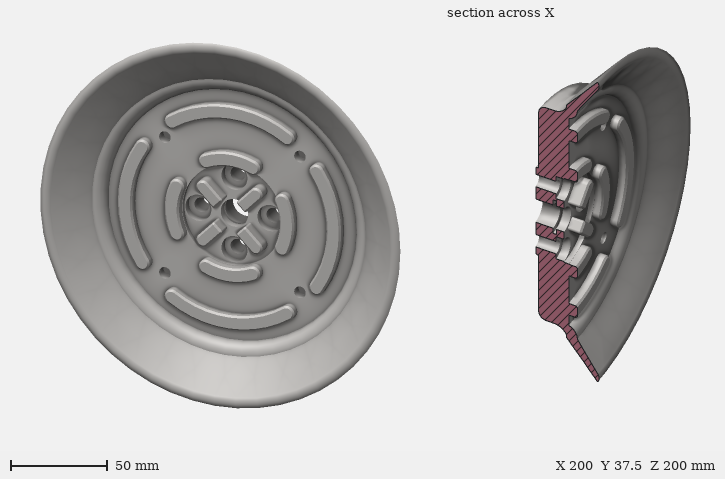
import cadquery as cq
import math


total_depth = 37.5
back_boss_height = 1.5
body_back_y = total_depth - back_boss_height
band_back_y = 31.0
band_front_y = 26.8
neck_front_y = 19.5
mouth_edge_y = 12.8
floor_y = 17.8

lip_radius = 100.0
lip_inner_radius = 94.2
lip_edge_y = 1.0
body_radius = 71.0
neck_radius = 75.8
skirt_top_radius = 77.5
mouth_radius = 76.0
mouth_bulge = 1.5
floor_radius = 68.8
back_boss_radius = 29.2
back_boss_chamfer = 0.5

center_hole_diameter = 15.2
bolt_circle_radius = 20.0
bolt_hole_diameter = 8.0
bolt_counterbore_diameter = 14.5
bolt_counterbore_depth = 7.5

undercut_radius = 11.0
undercut_y = 25.2
undercut_width = 1.8

pin_spacing = 75.0
pin_hole_diameter = 6.5
pin_hole_depth = 6.0

insert_radius = 27.8
insert_recess_depth = 2.8

cleat_width = 8.0
cleat_height = 5.0
cleat_chamfer = 1.0
outer_cleat_radius = 58.0
outer_cleat_half_angle = 33.5
inner_cleat_radius = 32.0
inner_cleat_half_angle = 24.0
block_width = 7.2
block_start = 8.8
block_end = 24.5
block_corner_round = 1.2

QUARTER_TURNS = (0, 90, 180, 270)


def polar(radius, angle):
    """Point at the given radius and angle in degrees."""
    return radius * math.cos(math.radians(angle)), radius * math.sin(math.radians(angle))


def floor_plane(y):
    """Sketch plane at height y, with X right, Z up and its normal toward the open mouth."""
    return cq.Workplane("XZ", origin=(0, y, 0))


def flare_mid(wall_radius, wall_y, edge_radius, edge_y):
    """Midpoint of an arc that leaves a cylindrical wall tangentially and flares out to an edge."""
    height = wall_y - edge_y
    flare = edge_radius - wall_radius
    arc_radius = (height**2 + flare**2) / (2 * flare)
    sweep = math.atan2(height, arc_radius - flare)
    return (
        wall_radius + arc_radius * (1 - math.cos(sweep / 2)),
        wall_y - arc_radius * math.sin(sweep / 2),
    )


def turned_body():
    """Cup without holes: floor, inner skirt, lip, outer skirt, neck, band and back boss."""
    back_round = body_back_y - band_back_y
    round_mid = back_round * (1 - math.sqrt(0.5))
    neck_mid = flare_mid(body_radius, band_front_y, neck_radius, neck_front_y)
    lip_mid_radius = (lip_radius + lip_inner_radius) / 2
    return (
        cq.Workplane("XY")
        .moveTo(0, floor_y)
        .lineTo(floor_radius, floor_y)
        .sagittaArc((mouth_radius, mouth_edge_y), -mouth_bulge)
        .lineTo(lip_inner_radius, lip_edge_y)
        .threePointArc((lip_mid_radius, 0), (lip_radius, lip_edge_y))
        .lineTo(skirt_top_radius, neck_front_y)
        .lineTo(neck_radius, neck_front_y)
        .threePointArc(neck_mid, (body_radius, band_front_y))
        .lineTo(body_radius, band_back_y)
        .threePointArc(
            (body_radius - round_mid, body_back_y - round_mid),
            (body_radius - back_round, body_back_y),
        )
        .lineTo(back_boss_radius, body_back_y)
        .lineTo(back_boss_radius, total_depth - back_boss_chamfer)
        .lineTo(back_boss_radius - back_boss_chamfer, total_depth)
        .lineTo(0, total_depth)
        .close()
        .revolve(360, (0, 0, 0), (0, 1, 0))
    )


def arc_cleat(radius, half_angle):
    """Curved cleat with round ends, centred on +X."""
    outer = radius + cleat_width / 2
    inner = radius - cleat_width / 2
    tip_angle = half_angle + math.degrees(cleat_width / 2 / radius)
    return (
        floor_plane(floor_y)
        .moveTo(*polar(outer, -half_angle))
        .threePointArc((outer, 0), polar(outer, half_angle))
        .threePointArc(polar(radius, tip_angle), polar(inner, half_angle))
        .threePointArc((inner, 0), polar(inner, -half_angle))
        .threePointArc(polar(radius, -tip_angle), polar(outer, -half_angle))
        .close()
        .extrude(cleat_height)
        .faces("<Y")
        .chamfer(cleat_chamfer)
    )


def block():
    """Straight block along +X, with softened corners toward the axis and a round outer end."""
    half = block_width / 2
    return (
        floor_plane(floor_y + insert_recess_depth)
        .moveTo(block_start, -half)
        .lineTo(block_end - half, -half)
        .threePointArc((block_end, 0), (block_end - half, half))
        .lineTo(block_start, half)
        .close()
        .extrude(cleat_height + insert_recess_depth)
        .edges("|Y and <X")
        .fillet(block_corner_round)
        .faces("<Y")
        .chamfer(cleat_chamfer)
    )


def around_axis(shape, first_angle):
    """Four copies of a shape, a quarter turn apart about the Y axis."""
    copies = cq.Workplane("XY")
    for turn in QUARTER_TURNS:
        copies = copies.add(shape.rotate((0, 0, 0), (0, 1, 0), first_angle + turn))
    return copies.combine()


def drill(y, diameter, depth, points):
    """Round pockets entering the floor at height y and running toward +Y."""
    return floor_plane(y).pushPoints(points).circle(diameter / 2).extrude(-depth)


axis_point = [(0, 0)]
bolt_points = [polar(bolt_circle_radius, angle) for angle in QUARTER_TURNS]
pin_points = [(x * pin_spacing / 2, z * pin_spacing / 2) for x in (-1, 1) for z in (-1, 1)]

result = turned_body()

result = result.cut(drill(floor_y, 2 * insert_radius, insert_recess_depth, axis_point))

result = result.union(around_axis(arc_cleat(outer_cleat_radius, outer_cleat_half_angle), 0))
result = result.union(around_axis(arc_cleat(inner_cleat_radius, inner_cleat_half_angle), 0))
result = result.union(around_axis(block(), 45))

result = result.cut(drill(floor_y, center_hole_diameter, total_depth, axis_point))
result = result.cut(drill(undercut_y, 2 * undercut_radius, undercut_width, axis_point))
result = result.cut(drill(floor_y, bolt_hole_diameter, total_depth, bolt_points))
result = result.cut(drill(floor_y, bolt_counterbore_diameter, bolt_counterbore_depth, bolt_points))
result = result.cut(drill(floor_y, pin_hole_diameter, pin_hole_depth, pin_points))